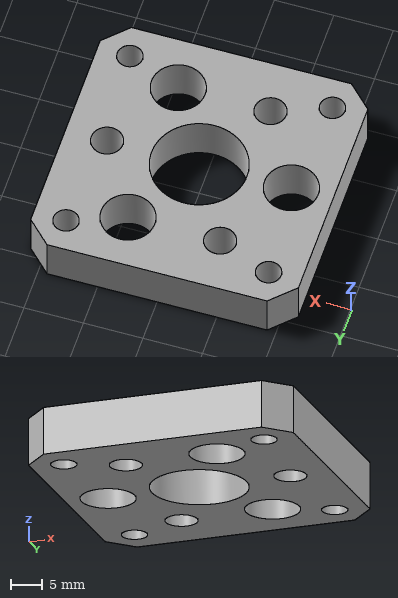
import cadquery as cq

side = 45
thickness = 8.0
corner_cut = 4.0

bore_diameter = 16.0
corner_hole_diameter = 4.25
corner_hole_spacing = 34.0

ring_radius = 15.5
large_hole_diameter = 9
small_hole_diameter = 5.3
holes_per_size = 3
large_start_angle = 180
small_start_angle = 0


def drill_ring(plate, diameter, start_angle):
    """Drill equally spaced through holes on the ring."""
    return (
        plate.faces(">Z").workplane(origin=(0, 0, thickness))
        .polarArray(ring_radius, start_angle, 360, holes_per_size)
        .hole(diameter)
    )


plate = cq.Workplane("XY").box(side, side, thickness, centered=(True, True, False))
plate = plate.edges("|Z").chamfer(corner_cut)

plate = plate.faces(">Z").workplane(origin=(0, 0, thickness)).hole(bore_diameter)

plate = (
    plate.faces(">Z").workplane(origin=(0, 0, thickness))
    .rarray(corner_hole_spacing, corner_hole_spacing, 2, 2)
    .hole(corner_hole_diameter)
)

plate = drill_ring(plate, large_hole_diameter, large_start_angle)
plate = drill_ring(plate, small_hole_diameter, small_start_angle)

result = plate